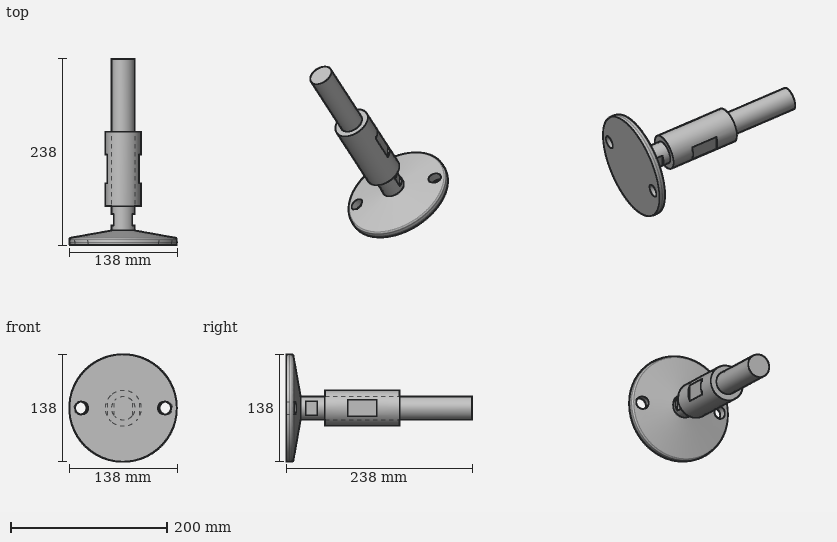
import cadquery as cq
import math

total_length = 238.0
rod_diameter = 30.0

foot_diameter = 138.0
foot_edge_radius = 68.5
rim_ridge_height = 3.8
cone_edge_fillet = 2.4
cone_edge_height = 9.3
cone_top_height = 18.8

hole_diameter = 16.5
hole_offset = 52.8
hole_cutter_length = 71.5

rod_flat_width = 24.0
rod_flat_start = 25.2
rod_flat_length = 14.5

sleeve_diameter = 46.0
sleeve_start = 49.7
sleeve_length = 95.5
sleeve_flat_width = 41.0
sleeve_flat_length = 36.7
sleeve_flat_start = sleeve_start + (sleeve_length - sleeve_flat_length) / 2


def cylinder_along_y(diameter, start, length):
    """Solid cylinder on the Y axis, from start towards +Y."""
    return cq.Workplane("XZ", origin=(0, start, 0)).circle(diameter / 2).extrude(-length)


def cut_wrench_flats(body, diameter, flat_width, start, length):
    """Cut two opposite flats, facing -X and +X, into a round body."""
    for side in (-1, 1):
        cutter = (
            cq.Workplane("XY")
            .box(diameter, length, diameter)
            .translate((side * (flat_width + diameter) / 2, start + length / 2, 0))
        )
        body = body.cut(cutter)
    return body


def make_foot_plate():
    """Turned plate with two through holes tilted to stand square to the cone."""
    rod_radius = rod_diameter / 2
    foot_radius = foot_diameter / 2
    plate = (
        cq.Workplane("XY")
        .polyline([
            (0, 0),
            (foot_edge_radius, 0),
            (foot_radius, rim_ridge_height),
            (foot_edge_radius, cone_edge_height),
            (rod_radius, cone_top_height),
            (0, cone_top_height),
        ])
        .close()
        .revolve(360, (0, 0, 0), (0, 1, 0))
    )
    just_below_edge = (-foot_radius, (rim_ridge_height + cone_edge_height) / 2, -foot_radius)
    just_above_edge = (foot_radius, (cone_edge_height + cone_top_height) / 2, foot_radius)
    plate = plate.edges(cq.selectors.BoxSelector(just_below_edge, just_above_edge)).edges(
        "%CIRCLE"
    ).fillet(cone_edge_fillet)
    cone_angle = math.atan2(cone_top_height - cone_edge_height, foot_edge_radius - rod_radius)
    for side in (-1, 1):
        axis = cq.Vector(side * math.sin(cone_angle), math.cos(cone_angle), 0)
        start = cq.Vector(side * hole_offset, 0, 0) - axis * (hole_cutter_length / 2)
        plate = plate.cut(cq.Workplane(
            cq.Solid.makeCylinder(hole_diameter / 2, hole_cutter_length, start, axis)
        ))
    return plate


def make_foot_with_rod():
    """Foot plate and its rod in one piece, with flats near the plate."""
    rod = cylinder_along_y(rod_diameter, cone_top_height, total_length - cone_top_height)
    rod = cut_wrench_flats(rod, rod_diameter, rod_flat_width, rod_flat_start, rod_flat_length)
    return make_foot_plate().union(rod)


def make_sleeve():
    """Round sleeve bored to fit the rod, with flats at mid length."""
    sleeve = cylinder_along_y(sleeve_diameter, sleeve_start, sleeve_length)
    sleeve = sleeve.cut(cylinder_along_y(rod_diameter, sleeve_start, sleeve_length))
    return cut_wrench_flats(
        sleeve, sleeve_diameter, sleeve_flat_width, sleeve_flat_start, sleeve_flat_length
    )


foot_with_rod = make_foot_with_rod()
sleeve = make_sleeve()

result = cq.Compound.makeCompound([foot_with_rod.val(), sleeve.val()])